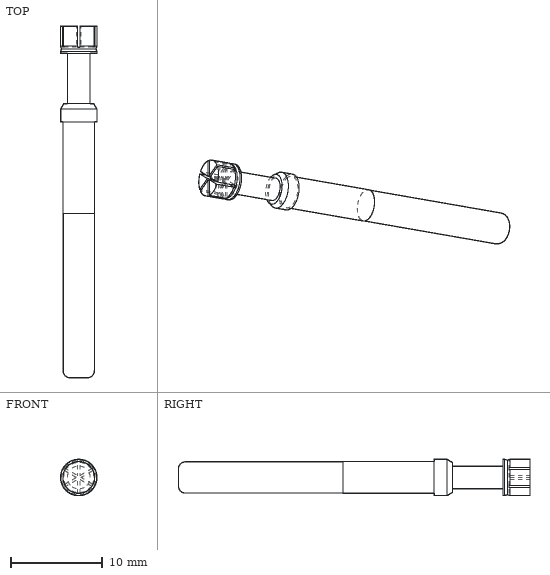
import cadquery as cq
import math


total_length = 38.5
barrel_start = 18.0
barrel_length = 10.0
collar_length = 2.0
head_length = 3.0

body_diameter = 3.45
barrel_diameter = 3.5
collar_diameter = 4.0
stem_diameter = 2.5
head_diameter = 4.0

tip_fillet = 0.8
collar_bevel_length = 0.6
collar_bevel_angle = 30

flange_thickness = 0.2
groove_width = 0.6
groove_depth = 0.1

slit_count = 3
slit_width = 0.25
slit_depth = 2.3

collar_start = barrel_start + barrel_length
collar_end = collar_start + collar_length
head_start = total_length - head_length
groove_start = head_start + flange_thickness
groove_middle = groove_start + groove_width / 2
groove_end = groove_start + groove_width


def make_turned_pin():
    """Revolve the half outline, with radius along X, about the Y axis."""
    body_radius = body_diameter / 2
    barrel_radius = barrel_diameter / 2
    collar_radius = collar_diameter / 2
    stem_radius = stem_diameter / 2
    head_radius = head_diameter / 2

    collar_bevel_depth = collar_bevel_length * math.tan(math.radians(collar_bevel_angle))

    arc_offset = tip_fillet * math.sqrt(0.5)
    tip_arc_middle = (body_radius - tip_fillet + arc_offset, tip_fillet - arc_offset)

    outline = (
        cq.Workplane("XY")
        .moveTo(0, 0)
        .lineTo(body_radius - tip_fillet, 0)
        .threePointArc(tip_arc_middle, (body_radius, tip_fillet))
        .lineTo(body_radius, barrel_start)
        .lineTo(barrel_radius, barrel_start)
        .lineTo(barrel_radius, collar_start)
        .lineTo(collar_radius, collar_start)
        .lineTo(collar_radius, collar_end - collar_bevel_length)
        .lineTo(collar_radius - collar_bevel_depth, collar_end)
        .lineTo(stem_radius, collar_end)
        .lineTo(stem_radius, head_start)
        .lineTo(head_radius, head_start)
        .lineTo(head_radius, groove_start)
        .lineTo(head_radius - groove_depth, groove_middle)
        .lineTo(head_radius, groove_end)
        .lineTo(head_radius, total_length)
        .lineTo(0, total_length)
        .close()
    )
    return outline.revolve(360, (0, 0, 0), (0, 1, 0))


def cut_head_slits(pin):
    """Cut evenly spaced slits through the head axis, starting with an upright one."""
    slit = cq.Workplane("XY").box(slit_width, slit_depth, 2 * head_diameter)
    slit = slit.translate((0, total_length - slit_depth / 2, 0))
    for index in range(slit_count):
        angle = index * 180 / slit_count
        pin = pin.cut(slit.rotate((0, 0, 0), (0, 1, 0), angle))
    return pin


result = cut_head_slits(make_turned_pin())